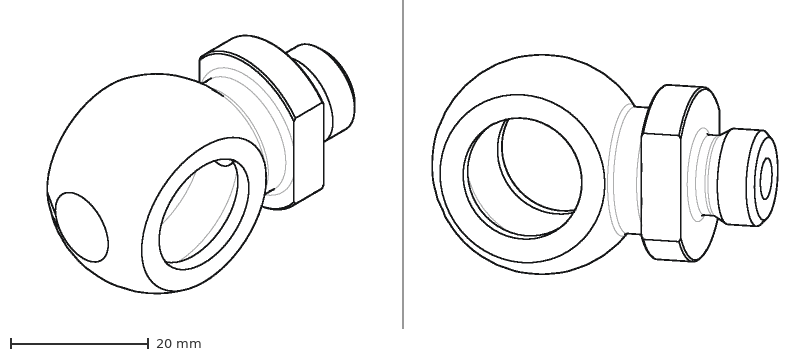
import cadquery as cq
import math

length = 49.0
width = 20.0

ball_radius = 32.0 / 2
ball_front = 15.0
bore_diameter = 18.0
groove_diameter = 25.5
groove_width = 15.4
groove_fillet = 4.0

stud_radius = 14.0 / 2
stud_chamfer = 1.0
stud_length = 4.35
undercut_radius = 11.7 / 2
taper_angle = 30.0
undercut_fillet = 1.0
passage_diameter = 6.0

flange_radius = 25.5 / 2
flange_thickness = 6.0
flange_depth = 10.0
flange_chamfer = 0.3

neck_radius = 18.5 / 2
neck_fillet = 1.0
ball_fillet = 1.0

stud_end = length - ball_front
taper_start = stud_end - stud_chamfer - stud_length
taper_end = taper_start - (stud_radius - undercut_radius) / math.tan(math.radians(taper_angle))
flange_back = stud_end - flange_depth
flange_front = flange_back - flange_thickness


def cylinder_y(radius, start, end):
    """Cylinder on the Y axis from start to end."""
    return cq.Workplane("XZ", origin=(0, end, 0)).circle(radius).extrude(end - start)


def circle_at(y, radius):
    """Selector box around the circular edge of this radius at height y."""
    margin = 0.005
    reach = radius + margin
    return cq.selectors.BoxSelector(
        (-reach, y - margin, -reach), (reach, y + margin, reach), boundingbox=True
    )


def make_stud():
    """Chamfered stud tapering down to an undercut that ends on the flange."""
    profile = [
        (0, flange_back),
        (undercut_radius, flange_back),
        (undercut_radius, taper_end),
        (stud_radius, taper_start),
        (stud_radius, stud_end - stud_chamfer),
        (stud_radius - stud_chamfer, stud_end),
        (0, stud_end),
    ]
    stud = cq.Workplane("XY").polyline(profile).close().revolve(360, (0, 0), (0, 1))
    return stud.edges(circle_at(taper_end, undercut_radius)).fillet(undercut_fillet)


def make_flange():
    """Chamfered disc; the flats are cut later with the faces of the eye."""
    return cylinder_y(flange_radius, flange_front, flange_back).edges().chamfer(flange_chamfer)


def make_ball():
    """Sphere with a flat nose."""
    ball = cq.Workplane("XY").sphere(ball_radius)
    span = 2 * ball_radius
    keep = cq.Workplane("XY").box(span, ball_front + ball_radius, span)
    return ball.intersect(keep.translate((0, (ball_radius - ball_front) / 2, 0)))


def make_body():
    """Ball, neck, flange and stud, blended and then trimmed to width."""
    body = make_ball().union(cylinder_y(neck_radius, 0, flange_front))
    ball_joint = math.sqrt(ball_radius**2 - neck_radius**2)
    body = body.edges(circle_at(ball_joint, neck_radius)).fillet(ball_fillet)
    body = body.union(make_flange()).union(make_stud())
    body = body.edges(circle_at(flange_front, neck_radius)).fillet(neck_fillet)
    body = body.edges(circle_at(flange_back, undercut_radius)).fillet(undercut_fillet)
    return body.intersect(cq.Workplane("XY").box(width, 2 * length, 2 * ball_radius))


def cylinder_x(diameter, span):
    """Cylinder on the X axis, centred on the ball."""
    return cq.Workplane("YZ").circle(diameter / 2).extrude(span / 2, both=True)


bore = cylinder_x(bore_diameter, width)
groove = cylinder_x(groove_diameter, groove_width)
groove = groove.edges("%CIRCLE").fillet(groove_fillet)
passage = cylinder_y(passage_diameter / 2, 0, stud_end)

result = make_body().cut(bore).cut(groove).cut(passage)